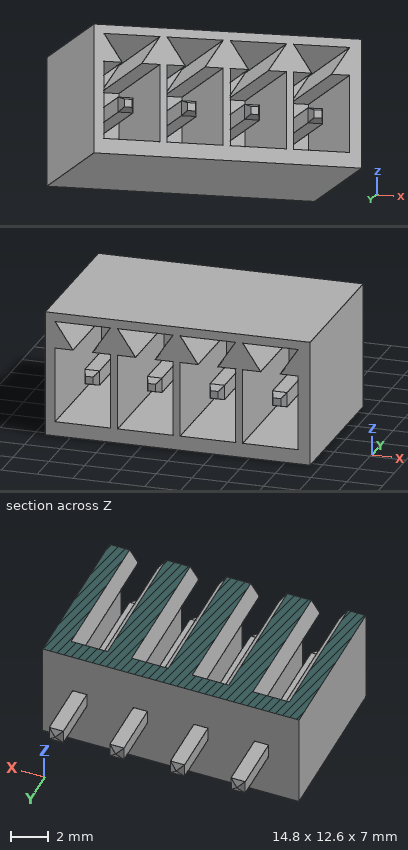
import cadquery as cq

WAYS = 4
PITCH = 3.5

BODY_WIDTH = 14.8
BODY_DEPTH = 9.19
BODY_HEIGHT = 7.0

POCKET_WIDTH = 3.1
POCKET_FLOOR_Z = 0.81
POCKET_SHOULDER_Z = 5.0
KEYWAY_NECK_WIDTH = 1.1
KEYWAY_TOP_Z = 6.51
POCKET_ROW_OFFSET = -0.06
REAR_WALL = 1.18

PIN_SIZE = 0.81
PIN_Z = 3.0
PIN_FRONT_Y = 0.95
PIN_REAR_Y = 12.6
FRONT_BEVEL_INSET = 0.19
FRONT_BEVEL_LENGTH = 0.5
REAR_POINT_LENGTH = 0.19

way_positions = [(i - (WAYS - 1) / 2) * PITCH for i in range(WAYS)]


def make_pocket(center_x):
    """Solid to cut for one pocket and its keyway."""
    half_width = POCKET_WIDTH / 2
    half_neck = KEYWAY_NECK_WIDTH / 2
    right_side = [
        (half_width, POCKET_FLOOR_Z),
        (half_width, POCKET_SHOULDER_Z),
        (half_neck, POCKET_SHOULDER_Z),
        (half_width, KEYWAY_TOP_Z),
    ]
    left_side = [(-x, z) for x, z in reversed(right_side)]
    return (
        cq.Workplane("XZ")
        .polyline(right_side + left_side)
        .close()
        .extrude(-(BODY_DEPTH - REAR_WALL))
        .translate((center_x, 0, 0))
    )


def make_pin(center_x):
    """Square pin along Y with a bevelled front end and a pyramid point at the rear."""
    shank_end_y = PIN_REAR_Y - REAR_POINT_LENGTH
    shank_start_y = PIN_FRONT_Y + FRONT_BEVEL_LENGTH
    front_size = PIN_SIZE - 2 * FRONT_BEVEL_INSET
    shank = (
        cq.Workplane("XZ", origin=(center_x, shank_start_y, PIN_Z))
        .rect(PIN_SIZE, PIN_SIZE)
        .extrude(-(shank_end_y - shank_start_y))
    )
    bevelled_end = (
        cq.Workplane("XZ", origin=(center_x, shank_start_y, PIN_Z))
        .rect(PIN_SIZE, PIN_SIZE)
        .workplane(offset=FRONT_BEVEL_LENGTH)
        .rect(front_size, front_size)
        .loft(ruled=True)
    )
    corners = [
        cq.Vector(center_x + sx * PIN_SIZE / 2, shank_end_y, PIN_Z + sz * PIN_SIZE / 2)
        for sx, sz in [(-1, -1), (1, -1), (1, 1), (-1, 1)]
    ]
    tip = cq.Vector(center_x, PIN_REAR_Y, PIN_Z)
    base = cq.Face.makeFromWires(cq.Wire.makePolygon(corners, close=True))
    sides = [
        cq.Face.makeFromWires(cq.Wire.makePolygon([corners[i - 1], corners[i], tip], close=True))
        for i in range(len(corners))
    ]
    point = cq.Solid.makeSolid(cq.Shell.makeShell([base] + sides))
    return shank.union(bevelled_end).union(cq.Workplane(point))


shroud = cq.Workplane("XY").box(BODY_WIDTH, BODY_DEPTH, BODY_HEIGHT, centered=(True, False, False))
for x in way_positions:
    shroud = shroud.cut(make_pocket(x + POCKET_ROW_OFFSET))

result = shroud
for x in way_positions:
    result = result.union(make_pin(x))